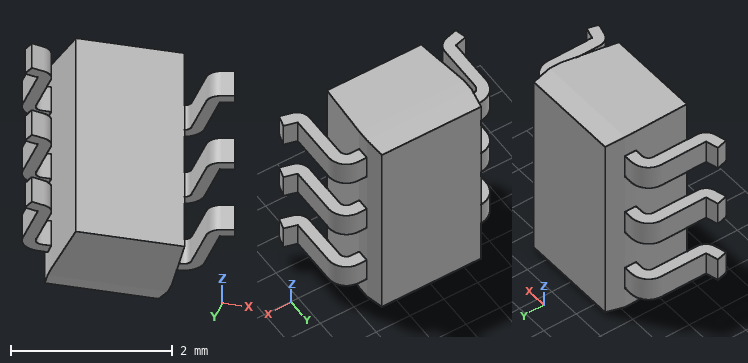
import cadquery as cq
import math


HOUSING_LENGTH = 2.9
HOUSING_WIDTH = 1.55
STANDOFF = 0.15
HOUSING_HEIGHT = 1.3
UPPER_HEIGHT = 0.278
UPPER_INSET = 0.04
LOWER_INSET = 0.075

LEADS_PER_SIDE = 3
LEAD_PITCH = 0.95
LEAD_WIDTH = 0.35
LEAD_THICKNESS = 0.17
LEAD_SPAN = 2.7
SHANK_SPAN = 2.34
SHOULDER_INNER_RADIUS = 0.1
HEEL_RADIUS = 0.188
FOOT_ANGLE = math.radians(15)

HOUSING_TOP = STANDOFF + HOUSING_HEIGHT
BAND_TOP = HOUSING_TOP - UPPER_HEIGHT
BAND_BOTTOM = BAND_TOP - LEAD_THICKNESS
LOWER_HEIGHT = BAND_BOTTOM - STANDOFF


def housing_block(start_y, height, inset):
    """Rectangular block growing along Y from start_y; its sides lean in by inset over its height.

    A negative height grows the block toward -Y.
    """
    start = cq.Workplane("XZ", origin=(0, start_y, 0)).rect(HOUSING_WIDTH, HOUSING_LENGTH)
    taper = math.degrees(math.atan2(inset, abs(height)))
    return start.extrude(-height, taper=taper)


def make_housing():
    """Straight band at the leads with a tapered part on either side of it."""
    band = housing_block(BAND_BOTTOM, LEAD_THICKNESS, 0)
    upper = housing_block(BAND_TOP, UPPER_HEIGHT, UPPER_INSET)
    lower = housing_block(BAND_BOTTOM, -LOWER_HEIGHT, LOWER_INSET)
    return band.union(upper).union(lower)


def arc_point(center, radius, angle):
    """Point on a circle, with the angle in radians from +X."""
    return (center[0] + radius * math.cos(angle), center[1] + radius * math.sin(angle))


def make_lead(center_z):
    """Gull-wing lead on the +X side, butting against the housing band."""
    wall_x = HOUSING_WIDTH / 2
    shank_outer_x = SHANK_SPAN / 2
    shank_inner_x = shank_outer_x - LEAD_THICKNESS

    shoulder_inner = SHOULDER_INNER_RADIUS
    shoulder_outer = shoulder_inner + LEAD_THICKNESS
    shoulder = (shank_inner_x - shoulder_inner, BAND_BOTTOM - shoulder_inner)
    shoulder_middle = math.radians(45)

    foot_run = LEAD_SPAN / 2 - shank_outer_x
    foot_drop = foot_run * math.tan(FOOT_ANGLE)
    tip_lower_drop = LEAD_THICKNESS * math.cos(FOOT_ANGLE)
    corner = (shank_outer_x, foot_drop + tip_lower_drop)
    tip_upper = (LEAD_SPAN / 2, tip_lower_drop)
    tip_lower = (tip_upper[0] - LEAD_THICKNESS * math.sin(FOOT_ANGLE), 0)
    heel_x = shank_inner_x + HEEL_RADIUS
    sole_y_at_heel = (tip_lower[0] - heel_x) * math.tan(FOOT_ANGLE)
    heel = (heel_x, sole_y_at_heel + HEEL_RADIUS / math.cos(FOOT_ANGLE))
    heel_start = math.radians(180)
    heel_end = math.radians(270) - FOOT_ANGLE

    profile = (
        cq.Workplane("XY", origin=(0, 0, center_z))
        .moveTo(wall_x, BAND_TOP)
        .lineTo(shoulder[0], BAND_TOP)
        .threePointArc(
            arc_point(shoulder, shoulder_outer, shoulder_middle),
            arc_point(shoulder, shoulder_outer, 0),
        )
        .lineTo(*corner)
        .lineTo(*tip_upper)
        .lineTo(*tip_lower)
        .lineTo(*arc_point(heel, HEEL_RADIUS, heel_end))
        .threePointArc(
            arc_point(heel, HEEL_RADIUS, (heel_start + heel_end) / 2),
            arc_point(heel, HEEL_RADIUS, heel_start),
        )
        .lineTo(*arc_point(shoulder, shoulder_inner, 0))
        .threePointArc(
            arc_point(shoulder, shoulder_inner, shoulder_middle),
            (shoulder[0], BAND_BOTTOM),
        )
        .lineTo(wall_x, BAND_BOTTOM)
        .close()
    )
    return profile.extrude(LEAD_WIDTH / 2, both=True)


housing = make_housing()

leads = []
for index in range(LEADS_PER_SIDE):
    lead_z = (index - (LEADS_PER_SIDE - 1) / 2) * LEAD_PITCH
    right_lead = make_lead(lead_z)
    left_lead = right_lead.mirror("YZ")
    leads.append(right_lead.val())
    leads.append(left_lead.val())

result = cq.Compound.makeCompound([housing.val(), *leads])